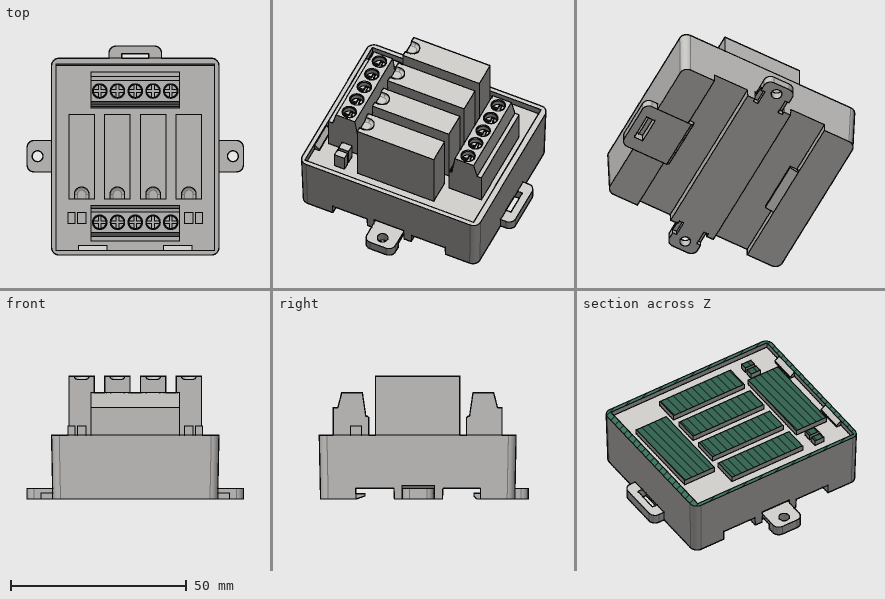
import cadquery as cq


housing_length = 47.7
housing_width = 56.05
housing_height = 18.2
wall_lean = 0.4
corner_radius = 2.2
side_wall = 1.3
rear_wall = 1.7

channel_height = 3.0
rear_channel_edge = 17.8
front_channel_edge = -17.55
pad_rear_edge = 7.2
pad_front_edge = -6.8
pad_lean = 0.1

fixed_hook_length = 2.6
fixed_hook_top = 1.55
fixed_hook_tip_bottom = 0.85

overall_length = 61.6
lug_width = 9.0
lug_center_y = 0.1
lug_thickness = 3.0
lug_corner_radius = 2.05
lug_hole_diameter = 3.0
lug_hole_x = 27.8
lug_relief_x = 26.85
lug_relief_height = 1.7
lug_web_width = 6.5
notch_width = 9.3
notch_slope_height = 0.85
notch_depth = 0.9

lip_depth = 0.45
lip_drop = 1.05
tab_length = 8.0
tab_center_x = 12.1
tab_depth = 1.5
tab_base_drop = 0.6
tab_tip_height = 0.5

board_drop = 2.3
board_thickness = 1.6

relay_count = 4
relay_pitch = 10.15
relay_length = 7.2
relay_width = 24.0
relay_top = 35.0
relay_notch_radius = 2.1
relay_notch_depth = 0.9
relay_notch_reach = 1.3
relay_notch_fillet = 0.85

terminal_length = 25.25
terminal_outer_y = 24.0
terminal_shelf_z = 26.0
terminal_shelf_y = 22.7
terminal_top_z = 30.3
terminal_top_outer_y = 21.6
terminal_top_inner_y = 15.7
terminal_step_z = 23.6
terminal_step_y = 14.7
terminal_chamfer = 0.45
terminal_inner_y = 13.85

screw_count = 5
screw_pitch = 5.05
screw_diameter = 4.1
screw_y = 18.65
screw_recess_depth = 1.85
screw_rim_chamfer = 0.25
screw_slot_width = 0.75
screw_slot_depth = 0.6

led_top = 20.8
led_width = 3.15
led_center_y = -17.5
outer_led_length = 2.05
outer_led_x = 18.1
inner_led_length = 2.3
inner_led_x = 15.2

clip_length = 15.0
clip_rear_y = 31.5
clip_thickness = channel_height
clip_corner_radius = 2.05
clip_slot_length = 7.6
clip_slot_rear_y = 29.2
clip_slot_front_y = 26.5
clip_tip_y = 16.0
clip_tip_top = 1.7
clip_tip_bottom = 0.8

rim_front_y = -housing_width / 2
cavity_half_length = housing_length / 2 - side_wall
cavity_rear_y = housing_width / 2 - rear_wall
cavity_front_y = rim_front_y + side_wall
notch_inner_x = housing_length / 2 - wall_lean - notch_depth
board_top = housing_height - board_drop
board_bottom = board_top - board_thickness


def box(x0, x1, y0, y1, z0, z1):
    """Box between two opposite corners."""
    return cq.Workplane("XY").box(x1 - x0, y1 - y0, z1 - z0, centered=False).translate((x0, y0, z0))


def centered_prism(points_yz, length, center_x=0):
    """Outline in the YZ plane, stretched along X and centred on center_x."""
    prism = cq.Workplane("YZ").polyline(points_yz).close().extrude(length / 2, both=True)
    return prism.translate((center_x, 0, 0))


def rounded_rectangle(length, width):
    return cq.Sketch().rect(length, width).vertices().fillet(corner_radius)


def housing_shell():
    """Block with walls leaning in towards the base, and a recess for the board."""
    base = rounded_rectangle(housing_length - 2 * wall_lean, housing_width - 2 * wall_lean)
    rim = rounded_rectangle(housing_length, housing_width)
    rim_place = cq.Location(cq.Vector(0, 0, housing_height))
    block = cq.Workplane("XY").placeSketch(base, rim.moved(rim_place)).loft()
    recess = box(-cavity_half_length, cavity_half_length, cavity_front_y, cavity_rear_y,
                 board_bottom, housing_height)
    return block.cut(recess)


def rail_channels():
    """Two channels along X, with the leaning pad left between them."""
    rear = [
        (rear_channel_edge, 0),
        (rear_channel_edge, channel_height),
        (pad_rear_edge, channel_height),
        (pad_rear_edge - pad_lean, 0),
    ]
    front = [
        (front_channel_edge, 0),
        (front_channel_edge, channel_height),
        (pad_front_edge, channel_height),
        (pad_front_edge + pad_lean, 0),
    ]
    return centered_prism(rear, overall_length).union(centered_prism(front, overall_length))


def fixed_hook():
    tip_y = front_channel_edge + fixed_hook_length
    outline = [
        (front_channel_edge, 0),
        (tip_y, fixed_hook_tip_bottom),
        (tip_y, fixed_hook_top),
        (front_channel_edge, fixed_hook_top),
    ]
    return centered_prism(outline, clip_length)


def lug_notch():
    """Notch in the right-hand wall around the lug, with a sloped roof."""
    rim_x = housing_length / 2
    roof_z = lug_thickness + notch_slope_height
    outline = [
        (notch_inner_x, 0),
        (rim_x, 0),
        (rim_x, roof_z),
        (rim_x - wall_lean, roof_z),
        (notch_inner_x, lug_thickness),
    ]
    notch = cq.Workplane("XZ").polyline(outline).close().extrude(notch_width / 2, both=True)
    return notch.translate((0, lug_center_y, 0))


def lug():
    """Right-hand lug, starting at the notch floor, relieved below on both sides and drilled through."""
    y0 = lug_center_y - lug_width / 2
    y1 = lug_center_y + lug_width / 2
    plate = box(notch_inner_x, overall_length / 2, y0, y1, 0, lug_thickness)
    plate = plate.edges("|Z and >X").fillet(lug_corner_radius)
    web_y0 = lug_center_y - lug_web_width / 2
    web_y1 = lug_center_y + lug_web_width / 2
    for relief_y0, relief_y1 in ((y0, web_y0), (web_y1, y1)):
        plate = plate.cut(box(notch_inner_x, lug_relief_x, relief_y0, relief_y1, 0, lug_relief_height))
    hole = (
        cq.Workplane("XY")
        .center(lug_hole_x, lug_center_y)
        .circle(lug_hole_diameter / 2)
        .extrude(lug_thickness)
    )
    return plate.cut(hole)


def rear_lip():
    """Full-length lip on the rear wall, sloped on top and resting on the board."""
    outline = [
        (cavity_rear_y, housing_height),
        (cavity_rear_y - lip_depth, housing_height - lip_drop),
        (cavity_rear_y - lip_depth, board_top),
        (cavity_rear_y, board_top),
    ]
    return centered_prism(outline, 2 * cavity_half_length)


def snap_tab(center_x):
    """Tab on the front wall that holds the board down."""
    outline = [
        (cavity_front_y, housing_height - tab_base_drop),
        (cavity_front_y + tab_depth, board_top + tab_tip_height),
        (cavity_front_y + tab_depth, board_top),
        (cavity_front_y, board_top),
    ]
    return centered_prism(outline, tab_length, center_x)


def make_housing(clip_passage):
    housing = housing_shell().cut(rail_channels()).union(fixed_hook())
    notch = lug_notch()
    right_lug = lug()
    housing = housing.cut(notch).cut(notch.mirror("YZ"))
    housing = housing.union(right_lug).union(right_lug.mirror("YZ"))
    housing = housing.union(rear_lip())
    for side in (-1, 1):
        housing = housing.union(snap_tab(side * tab_center_x))
    return housing.cut(clip_passage)


def relay():
    """Relay centred on X = 0, with a round-bottomed notch open to its front face."""
    half_length = relay_length / 2
    front_y = -relay_width / 2
    body = box(-half_length, half_length, front_y, -front_y, board_top, relay_top)
    notch = (
        cq.Workplane("XY", origin=(0, front_y, relay_top - relay_notch_depth))
        .slot2D(2 * (relay_notch_reach + relay_notch_radius), 2 * relay_notch_radius, 90)
        .extrude(2 * relay_notch_depth)
        .faces("<Z")
        .edges()
        .fillet(relay_notch_fillet)
    )
    return body.cut(notch)


def screw_recess(x):
    """Round recess with a chamfered mouth in the terminal top, and a cross slot in its floor."""
    bore_diameter = screw_diameter - 2 * screw_rim_chamfer
    floor_z = terminal_top_z - screw_recess_depth
    recess = cq.Workplane("XY", origin=(x, screw_y, floor_z)).circle(bore_diameter / 2)
    recess = recess.extrude(screw_recess_depth)
    mouth = cq.Workplane("XY", origin=(x, screw_y, terminal_top_z)).circle(screw_diameter / 2)
    mouth = mouth.extrude(-screw_rim_chamfer, taper=45)
    cross = cq.Workplane("XY", origin=(x, screw_y, floor_z - screw_slot_depth))
    cross = (
        cross.rect(bore_diameter, screw_slot_width).extrude(screw_slot_depth)
        .union(cross.rect(screw_slot_width, bore_diameter).extrude(screw_slot_depth))
    )
    return recess.union(mouth).union(cross)


def terminal_block():
    """Rear terminal block: a stepped outline along X with a row of screws."""
    outline = [
        (terminal_outer_y, board_top),
        (terminal_outer_y, terminal_shelf_z),
        (terminal_shelf_y, terminal_shelf_z),
        (terminal_top_outer_y, terminal_top_z),
        (terminal_top_inner_y, terminal_top_z),
        (terminal_step_y, terminal_step_z),
        (terminal_inner_y + terminal_chamfer, terminal_step_z),
        (terminal_inner_y, terminal_step_z - terminal_chamfer),
        (terminal_inner_y, board_top),
    ]
    block = centered_prism(outline, terminal_length)
    for index in range(screw_count):
        block = block.cut(screw_recess((index - (screw_count - 1) / 2) * screw_pitch))
    return block


def led(center_x, length):
    y0 = led_center_y - led_width / 2
    return box(center_x - length / 2, center_x + length / 2, y0, y0 + led_width, board_top, led_top)


def make_board_assembly():
    """Circuit board with its relays, terminal blocks and indicator lamps as one body."""
    assembly = box(-cavity_half_length, cavity_half_length, cavity_front_y, cavity_rear_y,
                   board_bottom, board_top)
    single_relay = relay()
    for index in range(relay_count):
        relay_x = (index - (relay_count - 1) / 2) * relay_pitch
        assembly = assembly.union(single_relay.translate((relay_x, 0, 0)))
    rear_terminal = terminal_block()
    assembly = assembly.union(rear_terminal).union(rear_terminal.mirror("XZ"))
    for side in (-1, 1):
        assembly = assembly.union(led(side * outer_led_x, outer_led_length))
        assembly = assembly.union(led(side * inner_led_x, inner_led_length))
    return assembly


def clip_plate():
    """Solid clip: a plate under the rear of the housing ending in a hook in the channel."""
    outline = [
        (clip_rear_y, 0),
        (clip_rear_y, clip_thickness),
        (rear_channel_edge, clip_thickness),
        (rear_channel_edge, clip_tip_top),
        (clip_tip_y, clip_tip_top),
        (clip_tip_y, clip_tip_bottom),
        (clip_tip_y + clip_tip_bottom, 0),
    ]
    plate = centered_prism(outline, clip_length)
    return plate.edges("|Z and >Y").fillet(clip_corner_radius)


def clip_slot():
    half_length = clip_slot_length / 2
    return box(-half_length, half_length, clip_slot_front_y, clip_slot_rear_y, 0, clip_thickness)


plate = clip_plate()
clip = plate.cut(clip_slot())
housing = make_housing(plate)
board_assembly = make_board_assembly()

result = cq.Compound.makeCompound([housing.val(), board_assembly.val(), clip.val()])